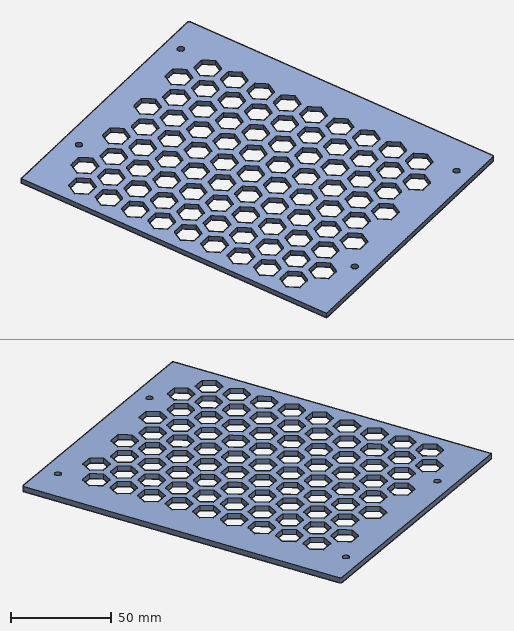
import cadquery as cq
import math

LENGTH = 185.0
WIDTH = 148.0
THICKNESS = 3.0
REAR_CORNER_RADIUS = 1.0

HEX_ACROSS_FLATS = 12.0
WEB = 4.0
ROW_COUNT = 9
OUTER_ROW_HEXES = 9
GRID_CENTER_Y = -6.0
HEX_PITCH = HEX_ACROSS_FLATS + WEB
ROW_PITCH = HEX_PITCH * math.sin(math.radians(60))
HEX_ACROSS_CORNERS = HEX_ACROSS_FLATS / math.cos(math.radians(30))

HOLE_DIAMETER = 3.6
HOLE_SIDE_MARGIN = 9.0
HOLE_REAR_MARGIN = 20.0
HOLE_SPACING_X = LENGTH - 2 * HOLE_SIDE_MARGIN
HOLE_SPACING_Y = 90.0
HOLE_CENTER_Y = WIDTH / 2 - HOLE_REAR_MARGIN - HOLE_SPACING_Y / 2


def make_plate():
    """Rectangular plate with its two +Y corners rounded."""
    plate = cq.Workplane("XY").box(LENGTH, WIDTH, THICKNESS, centered=(True, True, False))
    return plate.edges("|Z and >Y").fillet(REAR_CORNER_RADIUS)


def hex_centers():
    """Centres of staggered rows; every second row holds one extra opening."""
    centers = []
    for row in range(ROW_COUNT):
        count = OUTER_ROW_HEXES + row % 2
        y = GRID_CENTER_Y + (row - (ROW_COUNT - 1) / 2) * ROW_PITCH
        for column in range(count):
            x = (column - (count - 1) / 2) * HEX_PITCH
            centers.append((x, y))
    return centers


def cut_honeycomb(plate):
    """Cut all hexagonal openings through the plate."""
    turned_plane = cq.Plane(origin=(0, 0, 0), xDir=(0, 1, 0), normal=(0, 0, 1))
    turned_centers = [(y, -x) for x, y in hex_centers()]
    openings = (
        cq.Workplane(turned_plane)
        .pushPoints(turned_centers)
        .polygon(6, HEX_ACROSS_CORNERS)
        .extrude(THICKNESS)
    )
    return plate.cut(openings)


def cut_mounting_holes(plate):
    """Cut the four round through holes."""
    holes = (
        cq.Workplane("XY")
        .center(0, HOLE_CENTER_Y)
        .rect(HOLE_SPACING_X, HOLE_SPACING_Y, forConstruction=True)
        .vertices()
        .circle(HOLE_DIAMETER / 2)
        .extrude(THICKNESS)
    )
    return plate.cut(holes)


result = cut_mounting_holes(cut_honeycomb(make_plate()))